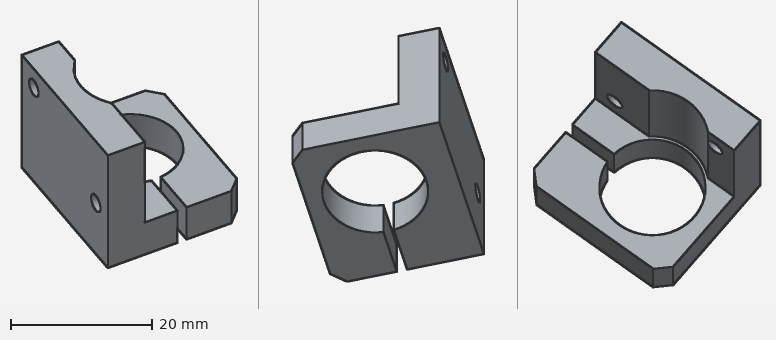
import cadquery as cq

width = 25.0
depth = 22.0
height = 21.0
thickness = 6.0
corner_chamfer = 2.0

bore_x = 10.0
bore_y = 12.0
bore_diameter = 15.0
clearance_diameter = 16.0
slit_width = 1.5

mount_hole_diameter = 2.7
mount_hole_inset = 3.5
mount_hole_drop = 8.0
upper_hole_z = height - mount_hole_inset
mount_holes = [
    (mount_hole_inset, upper_hole_z),
    (width - mount_hole_inset, upper_hole_z - mount_hole_drop),
]


def make_base():
    """Clamp plate with its two rear corners chamfered."""
    plate = cq.Workplane("XY").box(width, depth, thickness, centered=False)
    return plate.faces(">Y").edges("|Z").chamfer(corner_chamfer)


def make_wall():
    """Upright mounting wall, as thick as the base."""
    return cq.Workplane("XY").box(width, thickness, height, centered=False)


def vertical_cylinder(diameter, bottom, top):
    """Cylinder on the bore axis between two heights."""
    plane = cq.Workplane("XY", origin=(bore_x, bore_y, bottom))
    return plane.circle(diameter / 2).extrude(top - bottom)


def make_slit():
    """Slit that opens the bore toward the +X side of the base."""
    slit = cq.Workplane("XY").box(width - bore_x, slit_width, thickness, centered=False)
    return slit.translate((bore_x, bore_y - slit_width / 2, 0))


def make_mount_hole(x, z):
    """Straight hole through the full thickness of the wall."""
    plane = cq.Workplane("XZ", origin=(x, 0, z))
    return plane.circle(mount_hole_diameter / 2).extrude(-thickness)


result = make_base().union(make_wall())
result = result.cut(vertical_cylinder(bore_diameter, 0, thickness))
result = result.cut(vertical_cylinder(clearance_diameter, thickness, height))
result = result.cut(make_slit())
for hole_x, hole_z in mount_holes:
    result = result.cut(make_mount_hole(hole_x, hole_z))